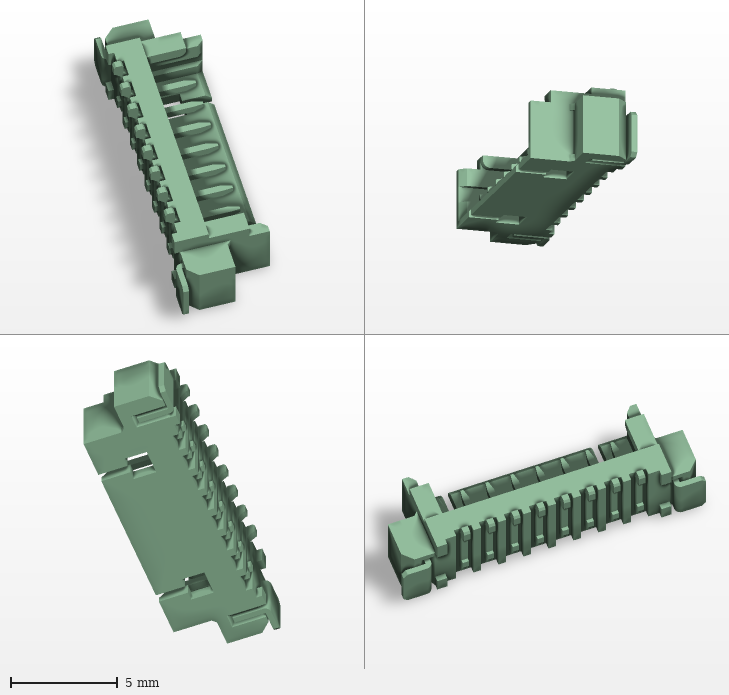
import cadquery as cq


half_width = 5.86
front_y = 0.33
back_y = 4.7
shelf_y = 1.73
step_y = 3.71
wall_top = 3.73
rail_top = 3.41
low_top = 2.82

standoff_y = 0.06
standoff_width = 0.5
standoff_height = 0.73

cavity_half = 5.27
floor_z = 0.6
mouth_depth = 0.32
mouth_side_flare = 0.27
rail_half = 4.91
rail_radius = 0.38

side_groove_low = 1.2
side_groove_high = 1.95

window_front = 2.1
window_back = 3.24
key_slot_width = 0.4

pin_count = 8
pin_row_length = 8.75
pitch = pin_row_length / (pin_count - 1)
pin_width = 0.32
groove_width = 0.86
groove_back = 0.65
shaft_low = 0.95
shaft_high = 1.36
shaft_front = 0.2
taper_start = 3.53
pin_tip = 4.03
tip_width = 0.14
tip_height = 0.24
strip_y = 0.36
strip_low = 0.48
strip_high = 3.3
foot_low = 3.59
foot_top = 4.2
foot_back = 0.47
foot_chamfer_y = 0.09
foot_chamfer_z = 0.12
embed = 0.08

ear_x = 7.38
ear_back = 2.59
ear_chamfer_x = 0.48
ear_chamfer_y = 0.5
gusset = 0.2
gusset_height = 0.33

clip_x = 7.58
clip_top = 2.23
clip_thickness = 0.27
clip_chamfer = 0.21
clip_inner_x = 6.09
bend_radius = 0.3
slot_top = 2.32
slot_back = 1.82
slot_flare = 0.21

pin_positions = [(i - (pin_count - 1) / 2) * pitch for i in range(pin_count)]
key_positions = [-3 * pitch, 3 * pitch]


def block(x0, x1, y0, y1, z0, z1):
    """Axis-aligned block between two opposite corners."""
    return cq.Workplane("XY").box(x1 - x0, y1 - y0, z1 - z0, centered=False).translate((x0, y0, z0))


def rect_loft(start_plane, start_size, end_plane, end_size):
    """Frustum between two rectangles, each centred on its plane's origin."""
    distance = (end_plane.origin - start_plane.origin).dot(start_plane.zDir)
    return (
        cq.Workplane(start_plane)
        .rect(*start_size)
        .workplane(offset=distance)
        .rect(*end_size)
        .loft(combine=True)
    )


def plane_y(x, y, z):
    """Plane facing +Y; its local axes measure X and -Z."""
    return cq.Plane(origin=(x, y, z), xDir=(1, 0, 0), normal=(0, 1, 0))


def plane_z(x, y, z):
    """Plane facing +Z; its local axes measure X and Y."""
    return cq.Plane(origin=(x, y, z), xDir=(1, 0, 0), normal=(0, 0, 1))


def both_ends(left):
    """Left-end feature together with its mirror image at the right end."""
    return left.union(left.mirror("YZ"))


def housing():
    profile = [
        (front_y, 0),
        (back_y, 0),
        (back_y, low_top),
        (step_y, low_top),
        (step_y, rail_top),
        (shelf_y, rail_top),
        (shelf_y, wall_top),
        (front_y, wall_top),
    ]
    return cq.Workplane("YZ").polyline(profile).close().extrude(half_width, both=True)


def cavity():
    """Open-topped cavity with grooved side walls and a mouth that flares to the sides and down."""
    main = block(-cavity_half, cavity_half, shelf_y, back_y, floor_z, wall_top)
    mouth_half = cavity_half + mouth_side_flare
    grooves = block(-mouth_half, mouth_half, shelf_y, back_y, side_groove_low, side_groove_high)
    depth = wall_top - floor_z
    mouth = rect_loft(
        plane_y(0, back_y - mouth_depth, wall_top),
        (2 * cavity_half, 2 * depth),
        plane_y(0, back_y, wall_top),
        (2 * mouth_half, 2 * (depth + mouth_depth)),
    )
    return main.union(mouth).union(grooves)


def rail():
    """Overhanging rail along the top of the left cavity wall, rounded at its lower mouth corner."""
    bar = block(-cavity_half, -rail_half, shelf_y, step_y, low_top, rail_top)
    return bar.edges("|X and >Y and <Z").fillet(rail_radius)


def floor_openings():
    openings = cq.Workplane("XY")
    for x in key_positions:
        window = block(x - pitch / 2, x + pitch / 2, window_front, window_back, 0, floor_z)
        slot = block(x - key_slot_width / 2, x + key_slot_width / 2, window_back, back_y, 0, floor_z)
        openings = openings.union(window).union(slot)
    return openings


def ear():
    outline = [
        (-half_width, front_y),
        (-ear_x + ear_chamfer_x, front_y),
        (-ear_x, front_y + ear_chamfer_y),
        (-ear_x, ear_back),
        (-half_width, ear_back),
    ]
    body = cq.Workplane("XY").polyline(outline).close().extrude(low_top)
    corner = [
        (-half_width, ear_back),
        (-half_width - gusset, ear_back),
        (-half_width, ear_back + gusset),
    ]
    web = cq.Workplane("XY").polyline(corner).close().extrude(gusset_height)
    return body.union(web).union(web.translate((0, 0, low_top - gusset_height)))


def standoffs():
    """Upper and lower blocks on the left front corner."""
    x0 = -half_width
    x1 = x0 + standoff_width
    lower = block(x0, x1, standoff_y, front_y, 0, standoff_height)
    upper = block(x0, x1, standoff_y, front_y, low_top, wall_top)
    return lower.union(upper)


def clip_slot():
    """Slot in the left ear, open at the front and bottom with both rims chamfered."""
    outer_x = -clip_inner_x - clip_thickness
    main = block(outer_x, -clip_inner_x, front_y, slot_back, 0, slot_top)
    mid_x = -clip_inner_x - clip_thickness / 2
    mid_y = (front_y + slot_back) / 2
    length = slot_back - front_y
    front_rim = rect_loft(
        plane_y(mid_x, front_y, 0),
        (clip_thickness + 2 * slot_flare, 2 * (slot_top + slot_flare)),
        plane_y(mid_x, front_y + slot_flare, 0),
        (clip_thickness, 2 * slot_top),
    )
    bottom_rim = rect_loft(
        plane_z(mid_x, mid_y, 0),
        (clip_thickness + 2 * slot_flare, length + 2 * slot_flare),
        plane_z(mid_x, mid_y, slot_flare),
        (clip_thickness, length),
    )
    return main.union(front_rim).union(bottom_rim)


def clip():
    """Left hold-down: a solder plate bent into a blade that fills the ear slot."""
    plate = block(-clip_x, -clip_inner_x, 0, clip_thickness, 0, clip_top)
    plate = plate.edges("|Y and <X").chamfer(clip_chamfer)
    blade = block(-clip_inner_x - clip_thickness, -clip_inner_x, 0, slot_back, 0, clip_top)
    return plate.union(blade).edges("|Z and >X and <Y").fillet(bend_radius)


def pin(x):
    """Tapered contact, vertical strip in its groove, and bent solder foot."""
    half = pin_width / 2
    mid_z = (shaft_low + shaft_high) / 2
    shaft = block(x - half, x + half, shaft_front, taper_start, shaft_low, shaft_high)
    tip = rect_loft(
        plane_y(x, taper_start, mid_z),
        (pin_width, shaft_high - shaft_low),
        plane_y(x, pin_tip, mid_z),
        (tip_width, tip_height),
    )
    bend_drop = groove_back - foot_back
    bend_start = strip_y - (foot_low - strip_high)
    tail = [
        (strip_y, strip_low),
        (groove_back + embed, strip_low),
        (groove_back + embed, foot_low - bend_drop),
        (groove_back, foot_low - bend_drop),
        (foot_back, foot_low),
        (foot_back, foot_top - foot_chamfer_z),
        (foot_back - foot_chamfer_y, foot_top),
        (foot_chamfer_y, foot_top),
        (0, foot_top - foot_chamfer_z),
        (0, foot_low),
        (bend_start, foot_low),
        (strip_y, strip_high),
    ]
    strip = cq.Workplane("YZ").polyline(tail).close().extrude(half, both=True).translate((x, 0, 0))
    return shaft.union(tip).union(strip)


result = housing().cut(cavity()).cut(floor_openings())
result = result.union(both_ends(rail())).union(both_ends(standoffs()))
result = result.union(both_ends(ear())).cut(both_ends(clip_slot()))
for position in pin_positions:
    groove_left = position - groove_width / 2
    result = result.cut(block(groove_left, groove_left + groove_width, front_y, groove_back, 0, wall_top))

result = result.union(both_ends(clip()))
for position in pin_positions:
    result = result.union(pin(position))